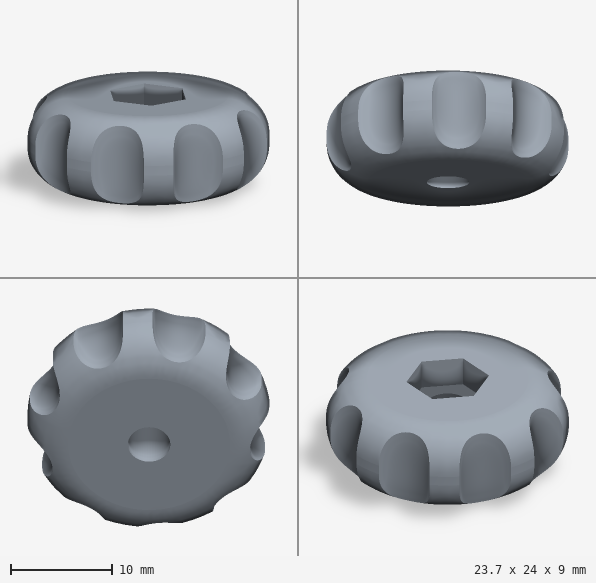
import cadquery as cq
import math

width = 23.97
height = 9.0

groove_count = 9
groove_radius = 3.0
groove_half_angle = 13.0

edge_radius = 4.0
bore_diameter = 4.2
hex_across_flats = 7.15
hex_depth = 3.0

groove_pitch = 360.0 / groove_count
nearest_groove = 2 * groove_pitch
lobe_edge_tilt = math.radians(nearest_groove + groove_half_angle - 90.0)
rim_radius = width / 2 / math.cos(lobe_edge_tilt)

half_angle = math.radians(groove_half_angle)
half_chord = rim_radius * math.sin(half_angle)
groove_center_radius = rim_radius * math.cos(half_angle) + math.sqrt(groove_radius**2 - half_chord**2)


def knob_blank():
    """Disc with both rims rounded, leaving a narrow straight band between them."""
    disc = cq.Workplane("XY").circle(rim_radius).extrude(height)
    return disc.edges("%CIRCLE").fillet(edge_radius)


def finger_grooves():
    """Cylinders for the scallops, the first one centred on +X."""
    return (
        cq.Workplane("XY")
        .polarArray(groove_center_radius, 0, 360, groove_count)
        .circle(groove_radius)
        .extrude(height)
    )


def hex_pocket():
    """Nut pocket sunk from the top face, with two corners on the X axis."""
    across_corners = hex_across_flats / math.cos(math.pi / 6)
    floor = cq.Workplane("XY").workplane(offset=height - hex_depth)
    return floor.polygon(6, across_corners).extrude(hex_depth)


def bore():
    """Screw hole through the full height."""
    return cq.Workplane("XY").circle(bore_diameter / 2).extrude(height)


result = knob_blank().cut(finger_grooves()).cut(hex_pocket()).cut(bore())